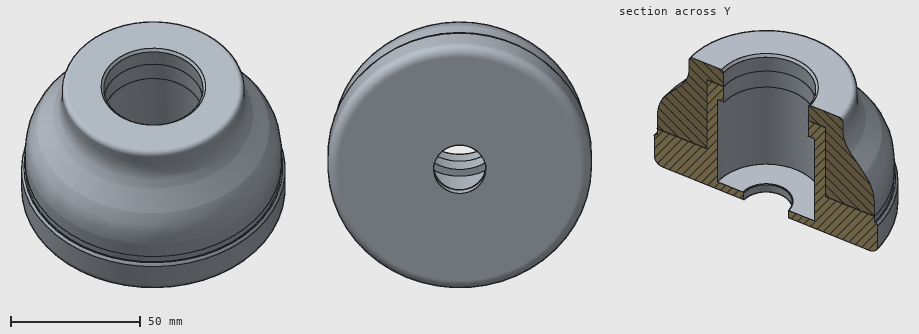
import cadquery as cq
import math

base_radius = 50.8
body_radius = 49.4
total_height = 61.6

bottom_fillet = 4.0
ledge_height = 15.6
ledge_width = 0.5
bevel_height = 0.6
steep_bevel_width = 0.4
cover_seat = 18.6
floor_thickness = 4.0
screw_hole_radius = 10.1
screw_hole_chamfer = 0.3
chamber_radius = 21.9

cover_thickness = 8.0
shoulder_bottom = 25.2
neck_radius = 35.1
neck_bottom = 55.1
neck_top_fillet = 2.0
cone_angle = math.radians(40)
flare_radius = 15.0
shoulder_radius = 20.0

bore_radius = 19.1
bore_chamfer = 1.0

hub_radius = neck_radius - cover_thickness
hub_top = total_height - cover_thickness
hub_plate_bottom = 45.4


def revolve_profile(profile):
    """Revolve a closed radius-height profile about Z."""
    return profile.close().revolve(360, (0, 0, 0), (0, 1, 0))


def make_core():
    profile = (
        cq.Workplane("XZ")
        .moveTo(screw_hole_radius, 0)
        .lineTo(base_radius - bottom_fillet, 0)
        .radiusArc((base_radius, bottom_fillet), -bottom_fillet)
        .lineTo(base_radius, ledge_height - 2 * bevel_height)
        .lineTo(base_radius - steep_bevel_width, ledge_height - bevel_height)
        .lineTo(body_radius + ledge_width, ledge_height)
        .lineTo(body_radius, ledge_height)
        .lineTo(body_radius, cover_seat)
        .lineTo(hub_radius, cover_seat)
        .lineTo(hub_radius, hub_top)
        .lineTo(bore_radius, hub_top)
        .lineTo(bore_radius, hub_plate_bottom)
        .lineTo(chamber_radius, hub_plate_bottom)
        .lineTo(chamber_radius, floor_thickness)
        .lineTo(screw_hole_radius + screw_hole_chamfer, floor_thickness)
        .lineTo(screw_hole_radius, floor_thickness - screw_hole_chamfer)
    )
    return revolve_profile(profile)


def shoulder_point(angle):
    """Point on the convex shoulder arc, at the given angle from its lower end."""
    inward = shoulder_radius * (1 - math.cos(angle))
    upward = shoulder_radius * math.sin(angle)
    return body_radius - inward, shoulder_bottom + upward


def flare_point(angle):
    """Point on the concave arc below the neck, at the given angle from its upper end."""
    outward = flare_radius * (1 - math.cos(angle))
    downward = flare_radius * math.sin(angle)
    return neck_radius + outward, neck_bottom - downward


def make_cover():
    profile = (
        cq.Workplane("XZ")
        .moveTo(hub_radius, cover_seat)
        .lineTo(body_radius, cover_seat)
        .lineTo(body_radius, shoulder_bottom)
        .threePointArc(shoulder_point(cone_angle / 2), shoulder_point(cone_angle))
        .lineTo(*flare_point(cone_angle))
        .threePointArc(flare_point(cone_angle / 2), (neck_radius, neck_bottom))
        .lineTo(neck_radius, total_height - neck_top_fillet)
        .radiusArc((neck_radius - neck_top_fillet, total_height), -neck_top_fillet)
        .lineTo(bore_radius + bore_chamfer, total_height)
        .lineTo(bore_radius, total_height - bore_chamfer)
        .lineTo(bore_radius, hub_top)
        .lineTo(hub_radius, hub_top)
    )
    return revolve_profile(profile)


core = make_core()
cover = make_cover()

result = cq.Compound.makeCompound([core.val(), cover.val()])